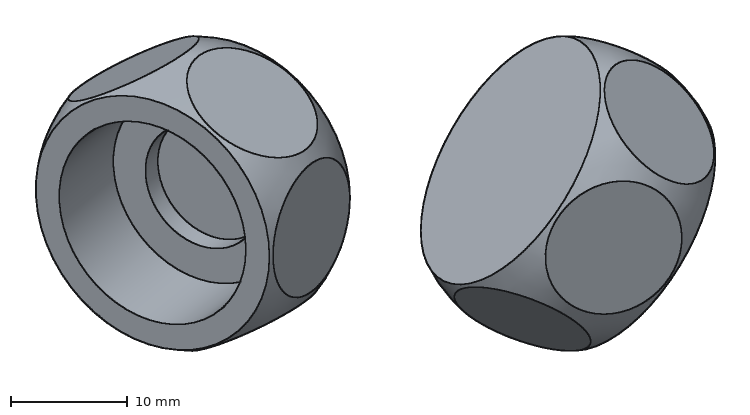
import cadquery as cq
import math

side_count = 6
across_flats = 24.0
nut_length = 13.0
crown_diameter = 27.0
bore_diameter = 18.9
bore_depth = 10.0

washer_outer_diameter = 18.0
washer_hole_diameter = 11.5
washer_thickness = 2.0

open_face_y = -nut_length / 2
bore_floor_y = open_face_y + bore_depth
washer_face_y = bore_floor_y - washer_thickness


def cross_section_at(y):
    """Sketch plane across the nut axis at y; its normal points to -Y."""
    return cq.Workplane("XZ", origin=(0, y, 0))


def make_cap_nut():
    across_corners = across_flats / math.cos(math.pi / side_count)
    half_side_angle = 180 / side_count
    hexagon = (
        cross_section_at(open_face_y)
        .polygon(side_count, across_corners)
        .extrude(-nut_length)
        .rotate((0, 0, 0), (0, 1, 0), half_side_angle)
    )
    crown = cq.Workplane("XZ").sphere(crown_diameter / 2)
    bore = cross_section_at(open_face_y).circle(bore_diameter / 2).extrude(-bore_depth)
    return hexagon.intersect(crown).cut(bore)


def make_washer():
    return (
        cross_section_at(washer_face_y)
        .circle(washer_outer_diameter / 2)
        .circle(washer_hole_diameter / 2)
        .extrude(-washer_thickness)
    )


cap_nut = make_cap_nut()
washer = make_washer()

result = cq.Compound.makeCompound([cap_nut.val(), washer.val()])